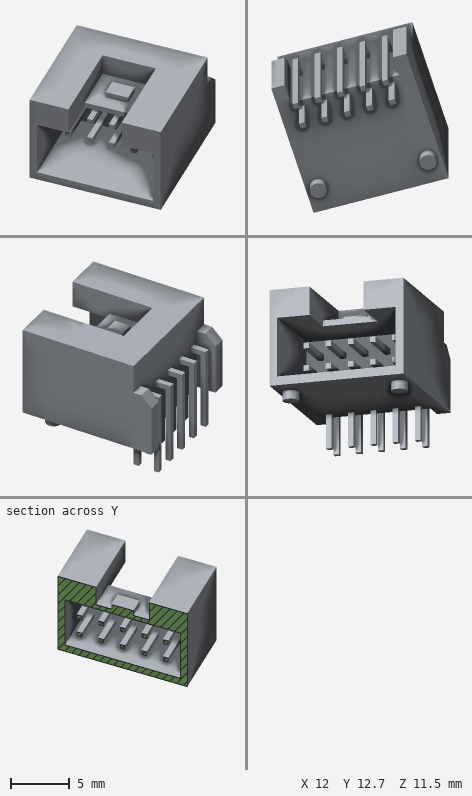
import cadquery as cq


width = 12.0
total_depth = 12.7
body_height = 8.5

ear_length = 1.79
ear_width = 1.2
ear_height = 5.75
ear_chamfer = 1.0
body_depth = total_depth - ear_length

side_wall = 0.69
floor_thickness = 0.77
cavity_top = 5.97
cavity_depth = 7.9

notch_width = 4.88
plate_front = 3.7
plate_top = 6.49

pad_width = 2.06
pad_length = 1.52
pad_height = 0.55
pad_front = 5.03

columns = 5
pitch = 2.0
pin_size = 0.5
pin_tip = 3.8
tail_length = 3.01
lower_pin_z = 2.45
upper_pin_z = lower_pin_z + pitch
outer_tail_y = 12.13
inner_tail_y = outer_tail_y - pitch

peg_diameter = 1.45
peg_length = 0.79
peg_x = 4.88
peg_y = 2.4


def block(size_x, y_start, y_end, z_start, z_end, center_x=0.0):
    """Box centred on center_x that spans the given Y and Z ranges."""
    return (
        cq.Workplane("XY")
        .box(size_x, y_end - y_start, z_end - z_start, centered=(True, False, False))
        .translate((center_x, y_start, z_start))
    )


def make_housing():
    """Main block with the mating cavity, the notch, the latch plate and its pad."""
    housing = block(width, 0, body_depth, 0, body_height)
    cavity_width = width - 2 * side_wall
    housing = housing.cut(block(cavity_width, 0, cavity_depth, floor_thickness, cavity_top))
    housing = housing.cut(block(notch_width, 0, cavity_depth, cavity_top, body_height))
    plate = block(notch_width, plate_front, cavity_depth, cavity_top, plate_top)
    pad = block(pad_width, pad_front, pad_front + pad_length, plate_top, plate_top + pad_height)
    return housing.union(plate).union(pad)


def make_ear(side):
    """Rear ear with a chamfered upper back edge; side is -1 or 1."""
    ear_x = side * (width - ear_width) / 2
    ear = block(ear_width, body_depth, total_depth, 0, ear_height, ear_x)
    return ear.edges(">Y and >Z").chamfer(ear_chamfer)


def make_peg(side):
    """Round locating peg; side is -1 or 1."""
    return (
        cq.Workplane("XY")
        .center(side * peg_x, peg_y)
        .circle(peg_diameter / 2)
        .extrude(-peg_length)
    )


def make_pin(x, contact_z, tail_y):
    """L-shaped square pin with a contact along Y and a solder tail along Z."""
    half = pin_size / 2
    contact = block(pin_size, pin_tip, tail_y + half, contact_z - half, contact_z + half, x)
    tail = block(pin_size, tail_y - half, tail_y + half, -tail_length, contact_z + half, x)
    return contact.union(tail)


result = make_housing()
for side in (-1, 1):
    result = result.union(make_ear(side)).union(make_peg(side))
for column in range(columns):
    pin_x = (column - (columns - 1) / 2) * pitch
    result = result.union(make_pin(pin_x, upper_pin_z, outer_tail_y))
    result = result.union(make_pin(pin_x, lower_pin_z, inner_tail_y))